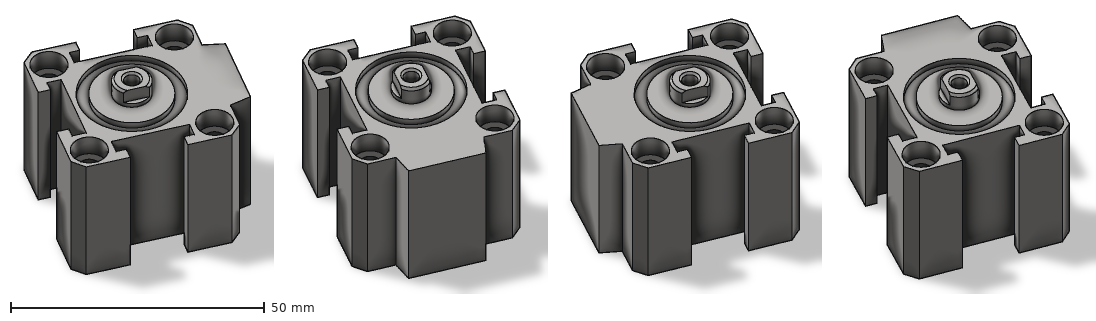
import cadquery as cq

HOUSING_WIDTH = 35.0
HALF_WIDTH = HOUSING_WIDTH / 2
OVERALL_DEPTH = 39.5
HOUSING_HEIGHT = 29.0
CORNER_CHAMFER = 2.4

RIDGE_BASE_HALF = 9.15
RIDGE_TOP_HALF = 8.05
RIDGE_TOP_Y = OVERALL_DEPTH - HALF_WIDTH

SLOT_MOUTH_WIDTH = 11.93
SLOT_CAVITY_WIDTH = 16.2
SIDE_SLOT_DEPTH = 5.5
SIDE_LIP_THICKNESS = 2.45
FRONT_SLOT_DEPTH = 5.45
FRONT_LIP_THICKNESS = 2.53

HOLE_SPACING = 26.0
HOLE_DIAMETER = 4.3
COUNTERBORE_DIAMETER = 7.5
COUNTERBORE_DEPTH = 4.5

RECESS_DIAMETER = 22.0
COLLAR_DIAMETER = 17.0
RECESS_DEPTH = 1.42

ROD_DIAMETER = 8.0
ROD_PROJECTION = 4.0
ROD_SEAT_DEPTH = 11.85
ROD_CHAMFER = 0.5
FLATS_WIDTH = 5.92
FLATS_HEIGHT = 3.0
SOCKET_DIAMETER = 3.25
SOCKET_MOUTH_DIAMETER = 4.15
SOCKET_CHAMFER = (SOCKET_MOUTH_DIAMETER - SOCKET_DIAMETER) / 2
SOCKET_DEPTH = 7.9

ROD_BOTTOM = HOUSING_HEIGHT - ROD_SEAT_DEPTH
ROD_LENGTH = ROD_SEAT_DEPTH + ROD_PROJECTION


def make_profile():
    """Chamfered square column with the tapered ridge on its back face."""
    column = (
        cq.Workplane("XY")
        .rect(HOUSING_WIDTH, HOUSING_WIDTH)
        .extrude(HOUSING_HEIGHT)
        .edges("|Z")
        .chamfer(CORNER_CHAMFER)
    )
    ridge = (
        cq.Workplane("XY")
        .polyline([
            (-RIDGE_BASE_HALF, 0),
            (RIDGE_BASE_HALF, 0),
            (RIDGE_BASE_HALF, HALF_WIDTH),
            (RIDGE_TOP_HALF, RIDGE_TOP_Y),
            (-RIDGE_TOP_HALF, RIDGE_TOP_Y),
            (-RIDGE_BASE_HALF, HALF_WIDTH),
        ])
        .close()
        .extrude(HOUSING_HEIGHT)
    )
    return column.union(ridge)


def make_t_slot(depth, lip_thickness, angle):
    """T-slot cutter for the front face, turned about Z to the face it opens on."""
    mouth = (
        cq.Workplane("XY")
        .center(0, -HALF_WIDTH + depth / 2)
        .rect(SLOT_MOUTH_WIDTH, depth)
        .extrude(HOUSING_HEIGHT)
    )
    cavity_depth = depth - lip_thickness
    cavity = (
        cq.Workplane("XY")
        .center(0, -HALF_WIDTH + lip_thickness + cavity_depth / 2)
        .rect(SLOT_CAVITY_WIDTH, cavity_depth)
        .extrude(HOUSING_HEIGHT)
    )
    return mouth.union(cavity).rotate((0, 0, 0), (0, 0, 1), angle)


def make_recess():
    """Ring cutter that leaves the collar standing flush with the top face."""
    return (
        cq.Workplane("XY")
        .workplane(offset=HOUSING_HEIGHT - RECESS_DEPTH)
        .circle(RECESS_DIAMETER / 2)
        .circle(COLLAR_DIAMETER / 2)
        .extrude(RECESS_DEPTH)
    )


def make_rod_seat():
    """Blind bore cutter that matches the rod."""
    return (
        cq.Workplane("XY")
        .workplane(offset=ROD_BOTTOM)
        .circle(ROD_DIAMETER / 2)
        .extrude(ROD_SEAT_DEPTH)
    )


def make_housing():
    housing = make_profile()
    housing = housing.cut(make_t_slot(FRONT_SLOT_DEPTH, FRONT_LIP_THICKNESS, 0))
    for angle in (-90, 90):
        housing = housing.cut(make_t_slot(SIDE_SLOT_DEPTH, SIDE_LIP_THICKNESS, angle))
    housing = housing.cut(make_recess()).cut(make_rod_seat())
    return (
        housing
        .copyWorkplane(cq.Workplane("XY", origin=(0, 0, HOUSING_HEIGHT)))
        .rarray(HOLE_SPACING, HOLE_SPACING, 2, 2)
        .cboreHole(HOLE_DIAMETER, COUNTERBORE_DIAMETER, COUNTERBORE_DEPTH)
    )


def make_rod():
    """Rod with two wrench flats and a chamfered blind socket in its end."""
    rod = (
        cq.Workplane("XY")
        .workplane(offset=ROD_BOTTOM)
        .circle(ROD_DIAMETER / 2)
        .extrude(ROD_LENGTH)
        .faces(">Z")
        .chamfer(ROD_CHAMFER)
        .faces(">Z")
        .workplane()
        .hole(SOCKET_DIAMETER, SOCKET_DEPTH)
        .faces(">Z")
        .edges("%CIRCLE")
        .edges(cq.selectors.RadiusNthSelector(0))
        .chamfer(SOCKET_CHAMFER)
    )
    flats = (
        cq.Workplane("XY")
        .workplane(offset=HOUSING_HEIGHT + ROD_PROJECTION - FLATS_HEIGHT)
        .pushPoints([(-FLATS_WIDTH, 0), (FLATS_WIDTH, 0)])
        .rect(FLATS_WIDTH, ROD_DIAMETER)
        .extrude(FLATS_HEIGHT)
    )
    return rod.cut(flats)


housing = make_housing()
rod = make_rod()
result = cq.Compound.makeCompound([housing.val(), rod.val()])